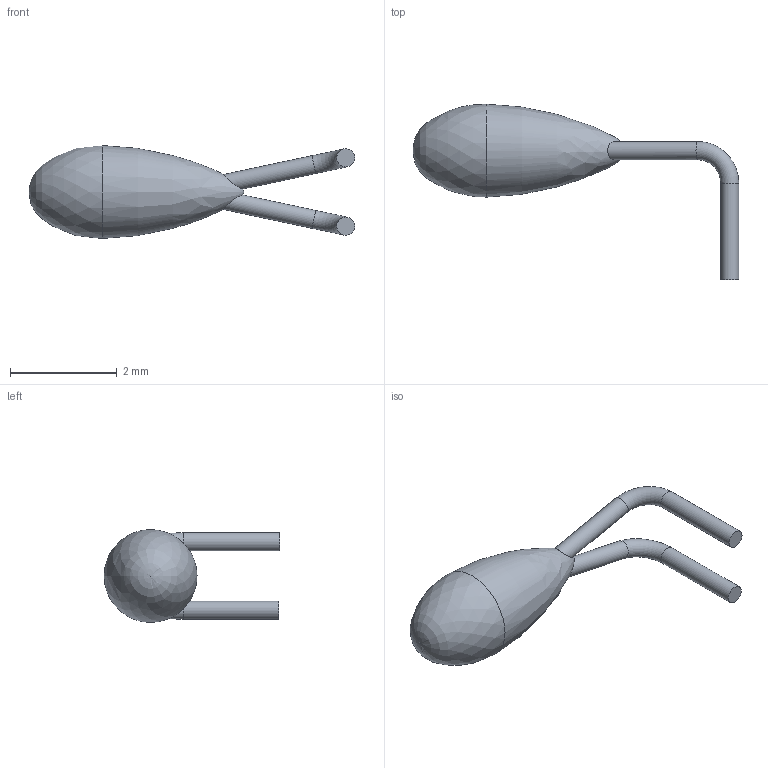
import math

import cadquery as cq

BEAD_RADIUS = 0.87
NOSE_LENGTH = 1.37
TAIL_LENGTH = 2.65
TAIL_SHOULDER = 1.2
TAIL_TIP_ROUNDING = 0.28

WIRE_RADIUS = 0.17
WIRE_ANGLE = 12.0
WIRE_START_X = 1.55
WIRE_END_X = 4.56
BEND_RADIUS = 0.61
UPPER_LEG_END_Y = -2.42
LOWER_LEG_END_Y = -2.40


def make_bead():
    """Teardrop revolved about X: a nearly elliptical nose and a tapering tail."""
    nose_mid = math.sqrt(0.5)
    tail_controls = [
        (0, BEAD_RADIUS),
        (TAIL_SHOULDER, BEAD_RADIUS),
        (TAIL_LENGTH, TAIL_TIP_ROUNDING),
        (TAIL_LENGTH, 0),
    ]
    profile = (
        cq.Workplane("XY")
        .moveTo(-NOSE_LENGTH, 0)
        .spline(
            [(-NOSE_LENGTH * nose_mid, BEAD_RADIUS * nose_mid), (0, BEAD_RADIUS)],
            tangents=[(0, 1), (1, 0)],
            includeCurrent=True,
        )
        .bezier(tail_controls)
        .close()
    )
    return profile.revolve(360, (0, 0, 0), (1, 0, 0))


def make_wire(side, leg_end_y):
    """Round wire leaving the bead at a tilt, then bent square to run along -Y."""
    angle = math.radians(side * WIRE_ANGLE)
    direction = cq.Vector(math.cos(angle), 0, math.sin(angle))
    bend_plane = cq.Plane(
        origin=(WIRE_START_X, 0, 0),
        xDir=direction,
        normal=direction.cross(cq.Vector(0, 1, 0)),
    )
    leg_distance = (WIRE_END_X - WIRE_START_X) / math.cos(angle)
    bend_start = leg_distance - BEND_RADIUS
    bend_mid = BEND_RADIUS * math.sqrt(0.5)
    path = (
        cq.Workplane(bend_plane)
        .lineTo(bend_start, 0)
        .threePointArc(
            (bend_start + bend_mid, bend_mid - BEND_RADIUS),
            (leg_distance, -BEND_RADIUS),
        )
        .lineTo(leg_distance, leg_end_y)
    )
    section_plane = cq.Plane(origin=(WIRE_START_X, 0, 0), xDir=(0, 1, 0), normal=direction)
    return cq.Workplane(section_plane).circle(WIRE_RADIUS).sweep(path)


upper_wire = make_wire(1, UPPER_LEG_END_Y)
lower_wire = make_wire(-1, LOWER_LEG_END_Y)
result = make_bead().union(upper_wire).union(lower_wire)